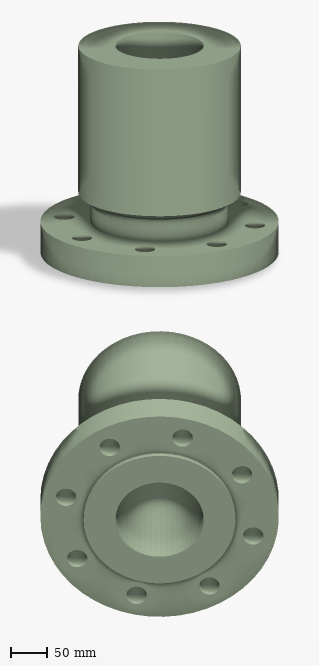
import cadquery as cq

flange_diameter = 330.0
total_height = 306.5

raised_face_diameter = 210.3
raised_face_height = 7.5
flange_thickness = 45.0
neck_diameter = 190.8
neck_height = 31.7

sleeve_diameter = 225.0
cone_height = 10.0

bore_diameter = 122.0
bolt_hole_count = 8
bolt_circle_diameter = 266.7
bolt_hole_diameter = 28.5

flange_bottom = raised_face_height
flange_top = flange_bottom + flange_thickness
cone_bottom = flange_top + neck_height
cone_top = cone_bottom + cone_height


def revolved_body():
    """Solid of revolution about Z, bored through its full height."""
    bore_radius = bore_diameter / 2
    raised_face_radius = raised_face_diameter / 2
    flange_radius = flange_diameter / 2
    neck_radius = neck_diameter / 2
    sleeve_radius = sleeve_diameter / 2
    half_section = [
        (bore_radius, 0),
        (raised_face_radius, 0),
        (raised_face_radius, flange_bottom),
        (flange_radius, flange_bottom),
        (flange_radius, flange_top),
        (neck_radius, flange_top),
        (neck_radius, cone_bottom),
        (sleeve_radius, cone_top),
        (sleeve_radius, total_height),
        (bore_radius, total_height),
    ]
    return cq.Workplane("XZ").polyline(half_section).close().revolve(360, (0, 0), (0, 1))


def bolt_holes():
    """Ring of cylinders that pass through the flange."""
    return (
        cq.Workplane("XY")
        .workplane(offset=flange_bottom)
        .polarArray(bolt_circle_diameter / 2, 0, 360, bolt_hole_count)
        .circle(bolt_hole_diameter / 2)
        .extrude(flange_thickness)
    )


result = revolved_body().cut(bolt_holes())